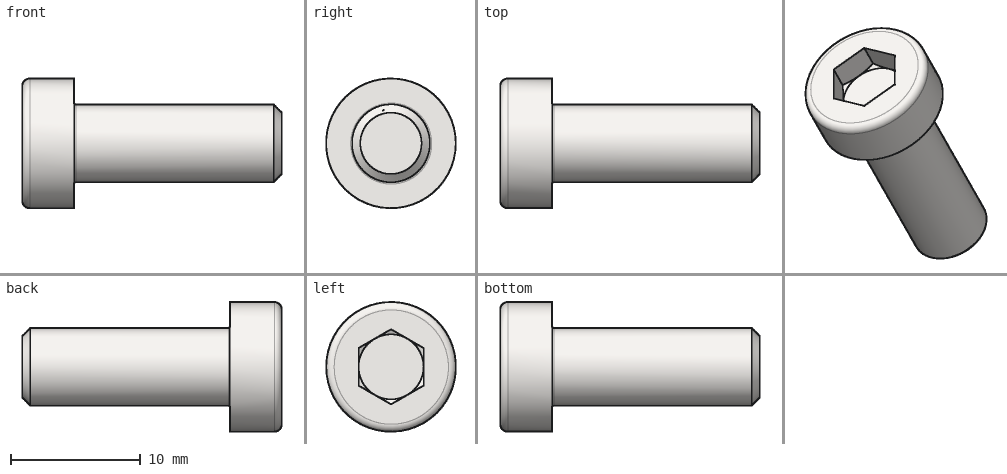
import cadquery as cq
import math

total_length = 20.0
head_diameter = 10.0
head_height = 4.0
head_rounding = 0.6
shank_diameter = 6.0
tip_chamfer = 0.65
neck_fillet = 0.12
socket_across_flats = 5.0
socket_depth = 2.0
socket_cone_angle = 120.0

head_radius = head_diameter / 2
shank_radius = shank_diameter / 2
socket_across_corners = socket_across_flats / math.cos(math.radians(30))
cone_radius = socket_across_corners / 2
floor_radius = socket_across_flats / 2
cone_depth = (cone_radius - floor_radius) / math.tan(math.radians(socket_cone_angle / 2))


def make_body():
    """Revolve the head, neck fillet and chamfered shank about X."""
    diagonal = math.sqrt(0.5)
    rounding_mid = (
        head_rounding * (1 - diagonal),
        head_radius - head_rounding * (1 - diagonal),
    )
    neck_mid = (
        head_height + neck_fillet * (1 - diagonal),
        shank_radius + neck_fillet * (1 - diagonal),
    )
    return (
        cq.Workplane("XY")
        .lineTo(0, head_radius - head_rounding)
        .threePointArc(rounding_mid, (head_rounding, head_radius))
        .lineTo(head_height, head_radius)
        .lineTo(head_height, shank_radius + neck_fillet)
        .threePointArc(neck_mid, (head_height + neck_fillet, shank_radius))
        .lineTo(total_length - tip_chamfer, shank_radius)
        .lineTo(total_length, shank_radius - tip_chamfer)
        .lineTo(total_length, 0)
        .close()
        .revolve(360, (0, 0, 0), (1, 0, 0))
    )


def make_socket():
    """Hexagonal recess, corners along Z, with a flat round floor and conical corners."""
    hexagon = (
        cq.Workplane("YZ")
        .transformed(rotate=(0, 0, 90))
        .polygon(6, socket_across_corners)
        .extrude(socket_depth + cone_depth)
    )
    floor_envelope = (
        cq.Workplane("XY")
        .lineTo(0, cone_radius)
        .lineTo(socket_depth, cone_radius)
        .lineTo(socket_depth + cone_depth, floor_radius)
        .lineTo(socket_depth + cone_depth, 0)
        .close()
        .revolve(360, (0, 0, 0), (1, 0, 0))
    )
    return hexagon.intersect(floor_envelope)


result = make_body().cut(make_socket())